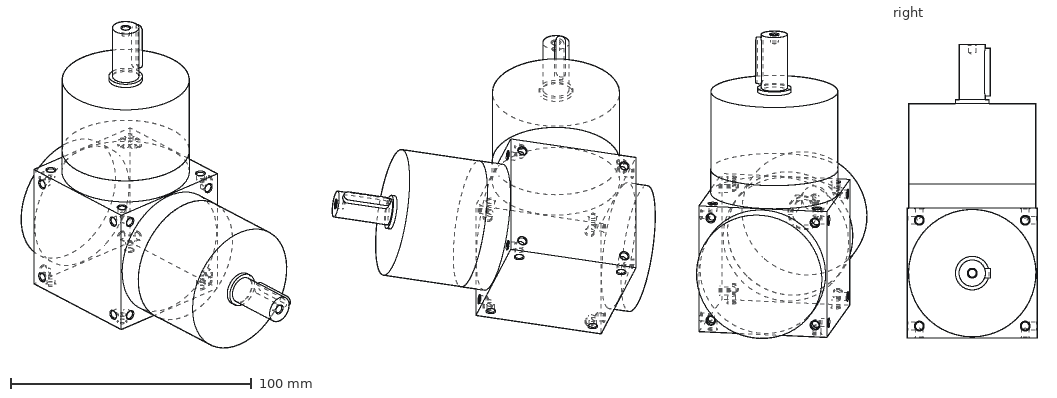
import cadquery as cq
import math

cube_side = 54.0
flange_diameter = 53.0
flange_length = 9.9
cap_length = 8.5

hole_pitch = 44.0
hole_diameter = 3.3
hole_mouth_diameter = 4.0
hole_depth = 3.3
drill_tip_angle = 118

gearhead_diameter = 52.9
gearhead_length = 33.5
shoulder_diameter = 14.0
shoulder_length = 1.6
shaft_diameter = 11.0
overall_length = 130.5
shaft_length = (
    overall_length - cap_length - cube_side - flange_length - gearhead_length - shoulder_length
)
key_width = 4.0
key_length = 20.0
key_top_radius = 7.6

half_cube = cube_side / 2
gearhead_base = half_cube + flange_length
shoulder_base = gearhead_base + gearhead_length
shaft_base = shoulder_base + shoulder_length
shaft_end = shaft_base + shaft_length


def cylinder_up(diameter, start, length):
    """Cylinder on the Z axis that rises from the height start."""
    return cq.Workplane("XY").workplane(offset=start).circle(diameter / 2).extrude(length)


def turned_to_x(body):
    """Turn a body from the +Z axis to the +X axis, leaving its +Y side in place."""
    return body.rotate((0, 0, 0), (0, 1, 0), 90)


def hole_down(mouth_height):
    """Solid that cuts a chamfered, cone-bottomed hole down the Z axis from the mouth height."""
    hole_radius = hole_diameter / 2
    mouth_radius = hole_mouth_diameter / 2
    chamfer = mouth_radius - hole_radius
    tip_height = hole_radius / math.tan(math.radians(drill_tip_angle / 2))
    profile = (
        cq.Workplane("XZ")
        .moveTo(0, 0)
        .lineTo(mouth_radius, 0)
        .lineTo(hole_radius, -chamfer)
        .lineTo(hole_radius, -hole_depth)
        .lineTo(0, -hole_depth - tip_height)
        .close()
    )
    return profile.revolve(360, (0, 0, 0), (0, 1, 0)).translate((0, 0, mouth_height))


def make_housing():
    cube = cq.Workplane("XY").box(cube_side, cube_side, cube_side)
    half_pitch = hole_pitch / 2
    turns = [((1, 0, 0), angle) for angle in (0, 90, 180, 270)]
    turns += [((0, 1, 0), angle) for angle in (90, -90)]
    for x in (-half_pitch, half_pitch):
        for y in (-half_pitch, half_pitch):
            hole = hole_down(half_cube).translate((x, y, 0))
            for axis, angle in turns:
                cube = cube.cut(hole.rotate((0, 0, 0), axis, angle))
    flange = cylinder_up(flange_diameter, half_cube, flange_length)
    cap = turned_to_x(cylinder_up(flange_diameter, -half_cube - cap_length, cap_length))
    return cube.union(flange).union(turned_to_x(flange)).union(cap)


def make_key():
    """Round-ended key on the +Y side of the shaft, centred along it and reaching to its axis."""
    return (
        cq.Workplane("XZ")
        .center(0, shaft_base + shaft_length / 2)
        .slot2D(key_length, key_width, 90)
        .extrude(-key_top_radius)
    )


def make_gearhead():
    """Gearhead whose output axis is +Z, standing on the flange of the housing."""
    body = cylinder_up(gearhead_diameter, gearhead_base, gearhead_length)
    shoulder = cylinder_up(shoulder_diameter, shoulder_base, shoulder_length)
    shaft = cylinder_up(shaft_diameter, shaft_base, shaft_length)
    gearhead = body.union(shoulder).union(shaft).union(make_key())
    return gearhead.cut(hole_down(shaft_end))


housing = make_housing()
upright_gearhead = make_gearhead()
gearheads = [upright_gearhead, turned_to_x(upright_gearhead)]

result = cq.Compound.makeCompound([housing.val(), *[body.val() for body in gearheads]])